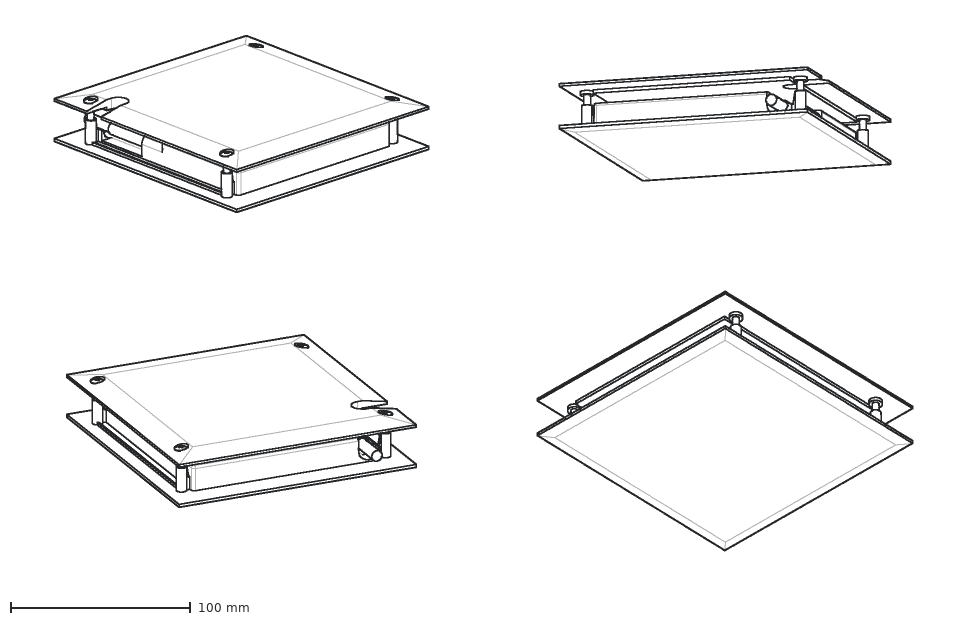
import cadquery as cq

length_x = 150.0
width_y = 145.0
height = 29.5
inset = 15.0
inner_x = length_x - 2 * inset
inner_y = width_y - 2 * inset

base_top = 2.8
base_taper_height = 1.0
base_taper_run = 6.8

pad_bottom = 23.1
cover_bottom = 25.0
cover_rim_top = 26.5

housing_top = 17.5
split_z = 10.2
housing_corner_radius = 1.8
housing_edge_radius = 1.4
housing_front = -inner_y / 2
housing_left = -inner_x / 2

plug_y = -50.2
plug_left = -71.1
plug_radius = 3.2
barrel_left = -50.5
barrel_radius = 3.9
pocket_right = -19.4
pocket_radius = 6.2
corner_wall_right = -52.0
hood_right = -2.5
hood_radius = housing_top - split_z

pillar_x = 56.0
pillar_y = 62.4
pillar_radius = 3.0
pillar_top = 17.1
pin_radius = 2.0
disc_radius = 3.8
rib_thickness = 1.5
rib_split_reach = 4.2
head_radius = 3.9
head_bottom = 27.3
head_edge = 27.6
head_top = 29.1
cross_length = 2.7
cross_width = 0.6
cross_depth = 0.5

rail_y = 63.3
rail_width = 0.9
rail_top = 4.4

notch_x = -42.3
notch_radius = 5.8
notch_centre_y = -54.2
notch_edge_round = 0.6


def block(x_min, x_max, y_min, y_max, z_min, z_max):
    """Box given by its limits."""
    size = (x_max - x_min, y_max - y_min, z_max - z_min)
    return cq.Workplane("XY").box(*size, centered=False).translate((x_min, y_min, z_min))


def slab(size_x, size_y, z_min, z_max):
    """Box centred on the Z axis."""
    return block(-size_x / 2, size_x / 2, -size_y / 2, size_y / 2, z_min, z_max)


def frustum(size_x, size_y, z_min, z_max, run):
    """Rectangular frustum that narrows upwards by `run` on every side."""
    return (
        cq.Workplane("XY", origin=(0, 0, z_min))
        .rect(size_x, size_y)
        .workplane(offset=z_max - z_min)
        .rect(size_x - 2 * run, size_y - 2 * run)
        .loft(ruled=True)
    )


def post(x, y, radius, z_min, z_max):
    """Upright cylinder."""
    return cq.Workplane("XY", origin=(x, y, z_min)).circle(radius).extrude(z_max - z_min)


def bar(radius, x_min, x_max):
    """Cylinder along X on the plug axis."""
    return cq.Workplane("YZ", origin=(x_min, plug_y, split_z)).circle(radius).extrude(x_max - x_min)


def make_base():
    plate = slab(length_x, width_y, base_taper_height, base_top)
    taper = frustum(length_x, width_y, 0, base_taper_height, base_taper_run)
    return plate.union(taper.mirror("XY", (0, 0, base_taper_height / 2)))


def make_cover():
    cover = slab(length_x, width_y, cover_bottom, cover_rim_top)
    cover = cover.union(frustum(length_x, width_y, cover_rim_top, height, inset))
    cover = cover.union(slab(inner_x, inner_y, pad_bottom, cover_bottom))

    notch_left = notch_x - notch_radius
    notch_right = notch_x + notch_radius
    notch = post(notch_x, notch_centre_y, notch_radius, pad_bottom, height)
    notch = notch.union(
        block(notch_left, notch_right, -width_y / 2, notch_centre_y, pad_bottom, height)
    )
    cover = cover.cut(notch)

    for edge_x in (notch_left, notch_right):
        nearest_point = (edge_x, -width_y / 2, (cover_bottom + cover_rim_top) / 2)
        cover = cover.edges(cq.NearestToPointSelector(nearest_point)).fillet(notch_edge_round)
    return cover


def make_housing():
    body = slab(inner_x, inner_y, base_top, housing_top)
    body = body.edges("|Z").fillet(housing_corner_radius)
    body = body.faces(">Z").edges().fillet(housing_edge_radius)

    hood_limits = (pocket_right, hood_right, housing_front, plug_y, split_z, housing_top)
    hood = block(*hood_limits).intersect(bar(hood_radius, pocket_right, hood_right))
    body = body.cut(block(*hood_limits)).union(hood)

    pocket_back = plug_y + pocket_radius
    pocket = bar(pocket_radius, housing_left, pocket_right)
    pocket = pocket.union(
        block(housing_left, pocket_right, housing_front, pocket_back, split_z, housing_top)
    )
    pocket = pocket.union(
        block(corner_wall_right, pocket_right, housing_front, plug_y, split_z - pocket_radius, split_z)
    )
    return body.cut(pocket)


def make_plug():
    return bar(plug_radius, plug_left, barrel_left).union(bar(barrel_radius, barrel_left, pocket_right))


def make_pillar(side_x, side_y):
    """Pillar with its pin, washer disc and a rib that leans towards the housing."""
    x = side_x * pillar_x
    y = side_y * pillar_y
    pillar = post(x, y, pillar_radius, base_top, pillar_top)
    pillar = pillar.union(post(x, y, pin_radius, pillar_top, pad_bottom))
    pillar = pillar.union(post(x, y, disc_radius, pad_bottom, cover_bottom))
    rib = (
        cq.Workplane("YZ", origin=(x, 0, 0))
        .moveTo(y, base_top)
        .lineTo(y, pillar_top)
        .lineTo(y - side_y * pillar_radius, pillar_top)
        .lineTo(y - side_y * rib_split_reach, split_z)
        .lineTo(side_y * inner_y / 2, split_z)
        .lineTo(side_y * inner_y / 2, base_top)
        .close()
        .extrude(rib_thickness / 2, both=True)
    )
    return pillar.union(rib)


def make_screw_head(side_x, side_y):
    """Domed screw head with a cross recess."""
    x = side_x * pillar_x
    y = side_y * pillar_y
    rise = head_top - head_edge
    dome_radius = (head_radius**2 + rise**2) / (2 * rise)
    dome = cq.Workplane("XY").sphere(dome_radius).translate((x, y, head_top - dome_radius))
    head = post(x, y, head_radius, head_bottom, head_top).intersect(dome)
    cross = slab(cross_length, cross_width, head_top - cross_depth, head_top)
    cross = cross.union(slab(cross_width, cross_length, head_top - cross_depth, head_top))
    return head.cut(cross.translate((x, y, 0)))


cover = make_cover()
result = make_base().union(make_housing()).union(make_plug())
for side_y in (-1, 1):
    rail_centre = side_y * rail_y
    rail = slab(2 * pillar_x, rail_width, base_top, rail_top).translate((0, rail_centre, 0))
    result = result.union(rail)
    for side_x in (-1, 1):
        seat = post(side_x * pillar_x, side_y * pillar_y, head_radius, head_bottom, height)
        cover = cover.cut(seat).union(make_screw_head(side_x, side_y))
        result = result.union(make_pillar(side_x, side_y))
result = result.union(cover)